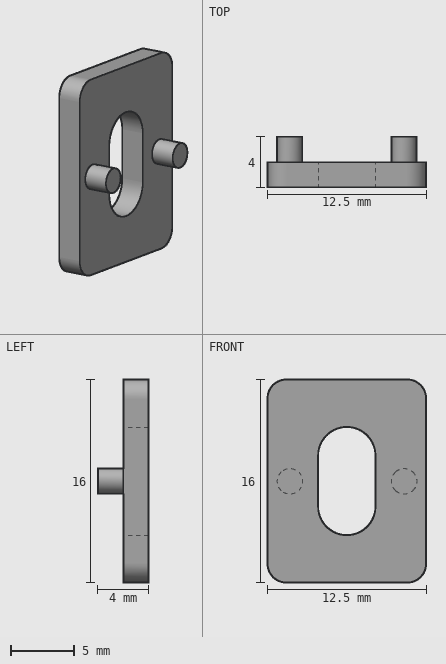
import cadquery as cq

plate_width = 12.5
plate_height = 16.0
plate_thickness = 2.0
corner_radius = 1.5

slot_width = 4.5
slot_length = 8.5

pin_diameter = 2.0
pin_length = 2.0
pin_spacing = 9.0


def make_plate():
    """Rounded plate with its front face at Y = 0 and its back face toward +Y."""
    return (
        cq.Workplane("XZ")
        .rect(plate_width, plate_height)
        .extrude(-plate_thickness)
        .edges("|Y")
        .fillet(corner_radius)
    )


def make_slot():
    """Slot cutter through the full plate thickness."""
    return cq.Workplane("XZ").slot2D(slot_length, slot_width, 90).extrude(-plate_thickness)


def make_pins():
    """Pair of round pins standing on the back face at mid-height."""
    return (
        cq.Workplane("XZ", origin=(0, plate_thickness, 0))
        .pushPoints([(-pin_spacing / 2, 0), (pin_spacing / 2, 0)])
        .circle(pin_diameter / 2)
        .extrude(-pin_length)
    )


result = make_plate().cut(make_slot()).union(make_pins())